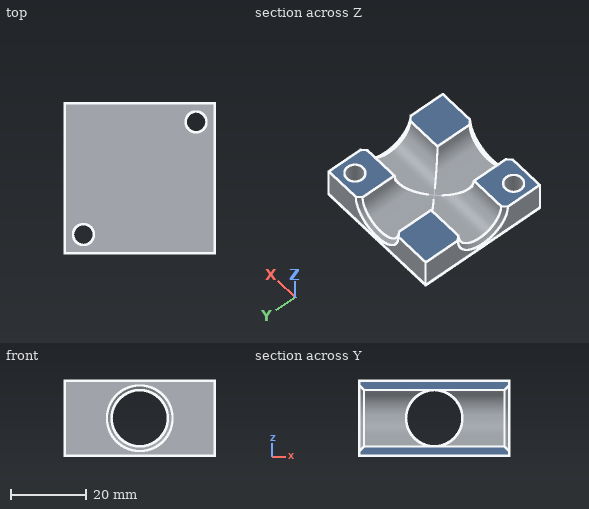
import cadquery as cq

side = 40.0
height = 20.0

bore_diameter = 14.95
mouth_diameter = 17.5
chamfer_depth = (mouth_diameter - bore_diameter) / 2

mount_diameter = 5.5
mount_edge_distance = 5.0
mount_offset = side / 2 - mount_edge_distance


def chamfered_bore_along_x():
    """Solid of revolution that fills the bore and both of its chamfered mouths."""
    half_length = side / 2
    bore_radius = bore_diameter / 2
    mouth_radius = mouth_diameter / 2
    chamfer_start = half_length - chamfer_depth
    half_profile = [
        (-half_length, 0),
        (-half_length, mouth_radius),
        (-chamfer_start, bore_radius),
        (chamfer_start, bore_radius),
        (half_length, mouth_radius),
        (half_length, 0),
    ]
    return cq.Workplane("XY").polyline(half_profile).close().revolve(360, (0, 0), (1, 0))


def mounting_holes():
    """Two cylinders on the block's diagonal, spanning its full height."""
    centers = [(-mount_offset, -mount_offset), (mount_offset, mount_offset)]
    return (
        cq.Workplane("XY", origin=(0, 0, -height / 2))
        .pushPoints(centers)
        .circle(mount_diameter / 2)
        .extrude(height)
    )


block = cq.Workplane("XY").box(side, side, height)
bore_x = chamfered_bore_along_x()
bore_y = bore_x.rotate((0, 0, 0), (0, 0, 1), 90)

result = block.cut(bore_x).cut(bore_y).cut(mounting_holes())